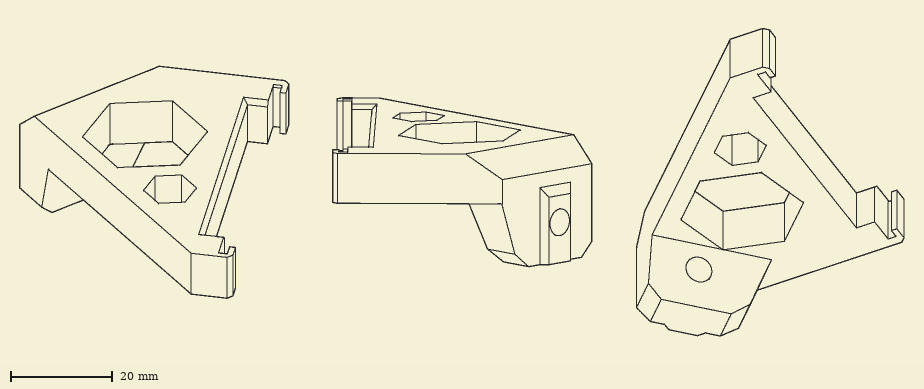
import cadquery as cq
import math

TOTAL_LENGTH = 66.65
TOTAL_WIDTH = 47.5
TOTAL_HEIGHT = 23.5
PLATE_THICKNESS = 10.0

RAIL_HEIGHT = 1.25
WALL_X = RAIL_HEIGHT
WALL_WIDTH = 24.7
WALL_TOP_CHAMFER = 5.1

SHOULDER_OUT = 50.7
TIP_CHAMFER = 1.0
HOOK_LENGTH = 3.85
HOOK_THICKNESS = 1.2
HOOK_WALL = 1.45
SLOT_WIDTH = 1.7
SLOT_CHAMFER = 0.4
FOOT_WIDTH = 6.7
SEAT_DEPTH = 5.0
SEAT_CHAMFER = 1.0
SEAT_OFFSET = 0.25

HEX_BASE_Y = 4.0
LARGE_HEX_X = 23.6
LARGE_HEX_FLATS = 21.4
SMALL_HEX_X = 41.5
SMALL_HEX_FLATS = 9.05

LEG_TOP_X = 11.3
LEG_BOTTOM_X = 8.4
LEG_FRONT_CHAMFER = 2.85
LEG_KNEE_Y = 21.1
LEG_KNEE_Z = -20.5
LEG_BOTTOM_Y = 17.3

RAIL_CENTER_Y = 10.05
RAIL_WIDTH = 8.45
RAIL_TOP_Z = -8.05
RAIL_TOP_DROP = 1.9
SCREW_HOLE_DIAMETER = 5.3
SCREW_HOLE_Z = -15.4

ROOT2 = math.sqrt(2)
LEFT_ALONG = SHOULDER_OUT - TOTAL_WIDTH * ROOT2
RIGHT_ALONG = TOTAL_LENGTH * ROOT2 - SHOULDER_OUT
SEAT_MIDDLE = (LEFT_ALONG + RIGHT_ALONG) / 2 + SEAT_OFFSET
HALF_SPAN = (RIGHT_ALONG - LEFT_ALONG) / 2
HOOK_OUT = SHOULDER_OUT + TIP_CHAMFER
SLOT_OUT = HOOK_OUT - HOOK_THICKNESS
FOOT_OUT = SLOT_OUT - SLOT_WIDTH
SEAT_OUT = FOOT_OUT - SEAT_DEPTH


def corner_point(along, out):
    """Turn a point of the 45 degree frame into X and Y."""
    return ((out + along) / ROOT2, (out - along) / ROOT2)


def prism(points, top, bottom):
    """Upright prism over an XY outline."""
    return cq.Workplane("XY", origin=(0, 0, bottom)).polyline(points).close().extrude(top - bottom)


def corner_loft(top_outline, bottom_outline, depth):
    """Sloping cutter from the top face down to a given depth, in the 45 degree frame."""
    top = [corner_point(*point) for point in top_outline]
    bottom = [corner_point(*point) for point in bottom_outline]
    return (
        cq.Workplane("XY").polyline(top).close()
        .workplane(offset=-depth).polyline(bottom).close()
        .loft(ruled=True)
    )


def rectangle(half_width, inner, outer):
    """Corners of a rectangle centred on the panel seat."""
    left = SEAT_MIDDLE - half_width
    right = SEAT_MIDDLE + half_width
    return [(left, inner), (right, inner), (right, outer), (left, outer)]


def make_plate():
    lower_corner_x = RIGHT_ALONG * ROOT2
    outline = [
        (WALL_X, 0),
        (lower_corner_x, 0),
        (TOTAL_LENGTH, TOTAL_LENGTH - lower_corner_x),
        corner_point(RIGHT_ALONG - TIP_CHAMFER, HOOK_OUT),
        corner_point(LEFT_ALONG + TIP_CHAMFER, HOOK_OUT),
        corner_point(LEFT_ALONG, SHOULDER_OUT),
        (WALL_X, WALL_X - LEFT_ALONG * ROOT2),
    ]
    return prism(outline, 0, -PLATE_THICKNESS)


def make_seat_cutter():
    def cut_through(half_width, inner, outer):
        points = [corner_point(*point) for point in rectangle(half_width, inner, outer)]
        return prism(points, 0, -PLATE_THICKNESS)

    seat_half = HALF_SPAN - FOOT_WIDTH
    lower_half = seat_half - SEAT_CHAMFER
    lower_out = SEAT_OUT + SEAT_CHAMFER
    slot_half = HALF_SPAN - HOOK_WALL
    lower_slot_half = slot_half - SLOT_CHAMFER

    seat = cut_through(lower_half, lower_out, HOOK_OUT)
    seat_bevel = corner_loft(
        rectangle(seat_half, SEAT_OUT, HOOK_OUT), rectangle(lower_half, lower_out, HOOK_OUT), SEAT_CHAMFER
    )
    slot = cut_through(lower_slot_half, FOOT_OUT, SLOT_OUT)
    slot_bevel = corner_loft(
        rectangle(slot_half, FOOT_OUT, SLOT_OUT), rectangle(lower_slot_half, FOOT_OUT, SLOT_OUT), SLOT_CHAMFER
    )
    mouth = cut_through(HALF_SPAN - HOOK_LENGTH, FOOT_OUT, HOOK_OUT)
    return seat.union(slot).union(mouth).union(seat_bevel).union(slot_bevel)


def make_hex_window(center_x, across_flats):
    return (
        cq.Workplane("XY")
        .center(center_x, HEX_BASE_Y + across_flats / 2)
        .polygon(6, across_flats / math.cos(math.pi / 6))
        .extrude(-PLATE_THICKNESS)
    )


def make_leg():
    side = [
        (WALL_X, -PLATE_THICKNESS),
        (LEG_TOP_X, -PLATE_THICKNESS),
        (LEG_BOTTOM_X, -TOTAL_HEIGHT),
        (WALL_X, -TOTAL_HEIGHT),
    ]
    face = [
        (0, -PLATE_THICKNESS),
        (WALL_WIDTH, -PLATE_THICKNESS),
        (LEG_KNEE_Y, LEG_KNEE_Z),
        (LEG_BOTTOM_Y, -TOTAL_HEIGHT),
        (LEG_FRONT_CHAMFER, -TOTAL_HEIGHT),
        (0, LEG_FRONT_CHAMFER - TOTAL_HEIGHT),
    ]
    side_prism = cq.Workplane("XZ").polyline(side).close().extrude(-WALL_WIDTH)
    face_prism = cq.Workplane("YZ").polyline(face).close().extrude(LEG_TOP_X)
    return side_prism.intersect(face_prism)


def make_rail():
    """Rail with 45 degree flanks and a sloping top end."""
    half = RAIL_WIDTH / 2
    section = [
        (WALL_X, RAIL_CENTER_Y - half),
        (0, RAIL_CENTER_Y - half + RAIL_HEIGHT),
        (0, RAIL_CENTER_Y + half - RAIL_HEIGHT),
        (WALL_X, RAIL_CENTER_Y + half),
    ]
    side = [
        (WALL_X, RAIL_TOP_Z),
        (0, RAIL_TOP_Z - RAIL_TOP_DROP),
        (0, -TOTAL_HEIGHT),
        (WALL_X, -TOTAL_HEIGHT),
    ]
    side_prism = cq.Workplane("XZ").polyline(side).close().extrude(-WALL_WIDTH)
    return prism(section, RAIL_TOP_Z, -TOTAL_HEIGHT).intersect(side_prism)


def make_wall_top_cutter():
    triangle = [(WALL_X, 0), (WALL_X + WALL_TOP_CHAMFER, 0), (WALL_X, -WALL_TOP_CHAMFER)]
    return cq.Workplane("XZ").polyline(triangle).close().extrude(-TOTAL_WIDTH)


screw_hole = (
    cq.Workplane("YZ")
    .center(RAIL_CENTER_Y, SCREW_HOLE_Z)
    .circle(SCREW_HOLE_DIAMETER / 2)
    .extrude(LEG_TOP_X)
)

result = (
    make_plate()
    .cut(make_seat_cutter())
    .cut(make_hex_window(LARGE_HEX_X, LARGE_HEX_FLATS))
    .cut(make_hex_window(SMALL_HEX_X, SMALL_HEX_FLATS))
    .cut(make_wall_top_cutter())
    .union(make_leg())
    .union(make_rail())
    .cut(screw_hole)
)